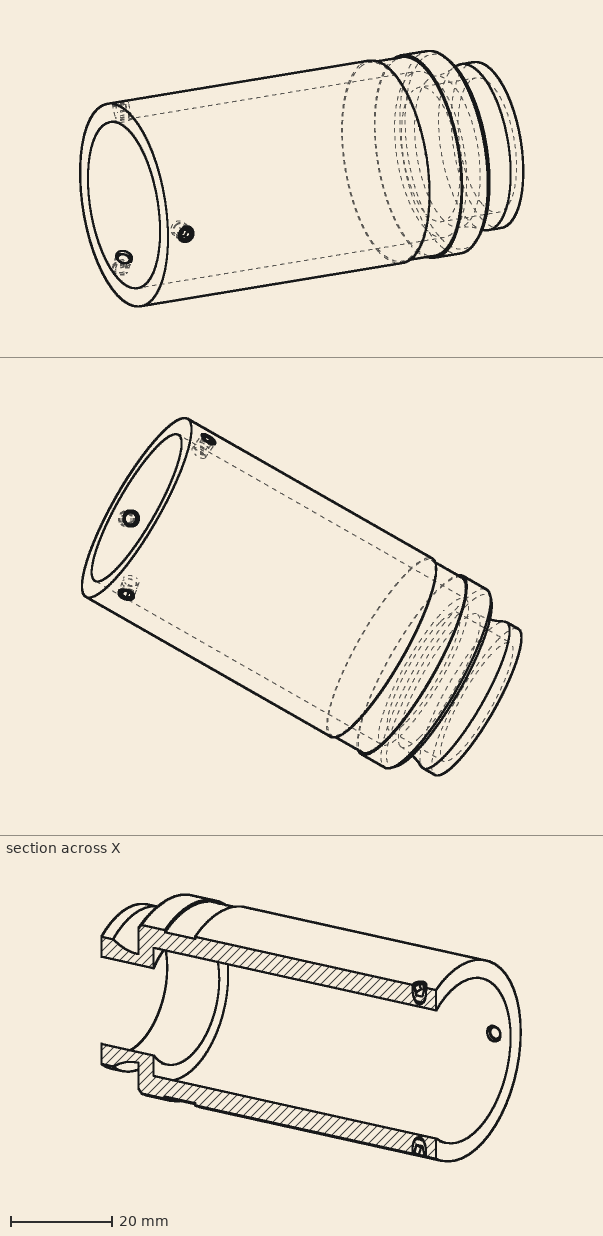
import cadquery as cq
import math

length = 79.6
outer_diameter = 40.7
groove_diameter = 39.9
front_bore_diameter = 33.35
rear_bore_diameter = 27.0
rim_diameter = 33.35
neck_diameter = 30.3

rim_width = 2.8
shoulder_distance = 8.75
groove_rear_distance = 15.1
groove_front_distance = 22.3
shoulder_chamfer = 0.8

screw_count = 3
screw_diameter = 3.2
screw_length = 3.0
screw_recess = 0.15
screw_tip_chamfer = 0.4
screw_head_chamfer = 0.2
screw_distance = 4.0
socket_across_flats = 1.9
socket_depth = 1.6

outer_radius = outer_diameter / 2
front_bore_radius = front_bore_diameter / 2
rear_bore_radius = rear_bore_diameter / 2
groove_radius = groove_diameter / 2
rim_radius = rim_diameter / 2
neck_radius = neck_diameter / 2
shoulder_y = length - shoulder_distance
rim_y = length - rim_width
groove_rear_y = length - groove_rear_distance
groove_front_y = length - groove_front_distance
bore_step_y = shoulder_y - (outer_radius - front_bore_radius)


def place_radially(body, angle):
    """Turn a body built along X to its angle around the sleeve axis, counted from +X towards +Z."""
    return body.rotate((0, 0, 0), (0, 1, 0), -angle)


def make_screw_hole(angle):
    """Radial cylinder through one side of the sleeve wall."""
    cutter = (
        cq.Workplane("YZ")
        .center(screw_distance, 0)
        .circle(screw_diameter / 2)
        .extrude(outer_diameter)
    )
    return place_radially(cutter, angle)


def make_sleeve(screw_angles):
    """Stepped tube with a flared neck and rim at its rear end."""
    flare_rise = rim_radius - neck_radius
    flare_length = rim_y - shoulder_y
    flare_arc_radius = (flare_rise**2 + flare_length**2) / (2 * flare_rise)
    flare_half_angle = math.atan2(flare_rise, flare_length)
    flare_middle = (
        neck_radius + flare_arc_radius * (1 - math.cos(flare_half_angle)),
        shoulder_y + flare_arc_radius * math.sin(flare_half_angle),
    )
    sleeve = (
        cq.Workplane("XY")
        .moveTo(front_bore_radius, 0)
        .lineTo(outer_radius, 0)
        .lineTo(outer_radius, groove_front_y)
        .lineTo(groove_radius, groove_front_y)
        .lineTo(groove_radius, groove_rear_y)
        .lineTo(outer_radius, groove_rear_y)
        .lineTo(outer_radius, shoulder_y - shoulder_chamfer)
        .lineTo(outer_radius - shoulder_chamfer, shoulder_y)
        .lineTo(neck_radius, shoulder_y)
        .threePointArc(flare_middle, (rim_radius, rim_y))
        .lineTo(rim_radius, length)
        .lineTo(rear_bore_radius, length)
        .lineTo(rear_bore_radius, bore_step_y)
        .lineTo(front_bore_radius, bore_step_y)
        .close()
        .revolve(360, (0, 0, 0), (0, 1, 0))
    )
    for angle in screw_angles:
        sleeve = sleeve.cut(make_screw_hole(angle))
    return sleeve


def make_set_screw(angle):
    """Headless screw with chamfered ends and a hexagon socket in its outer end."""
    outer_end = outer_radius - screw_recess
    socket_corner_diameter = socket_across_flats / math.cos(math.radians(30))
    screw = (
        cq.Workplane("YZ", origin=(outer_end - screw_length, screw_distance, 0))
        .circle(screw_diameter / 2)
        .extrude(screw_length)
        .faces("<X")
        .chamfer(screw_tip_chamfer)
        .faces(">X")
        .chamfer(screw_head_chamfer)
    )
    socket = (
        cq.Workplane("YZ", origin=(outer_end - socket_depth, screw_distance, 0))
        .polygon(6, socket_corner_diameter)
        .extrude(socket_depth)
    )
    return place_radially(screw.cut(socket), angle)


screw_angles = [index * 360 / screw_count for index in range(screw_count)]
sleeve = make_sleeve(screw_angles)
set_screws = [make_set_screw(angle).val() for angle in screw_angles]

result = cq.Compound.makeCompound([sleeve.val(), *set_screws])